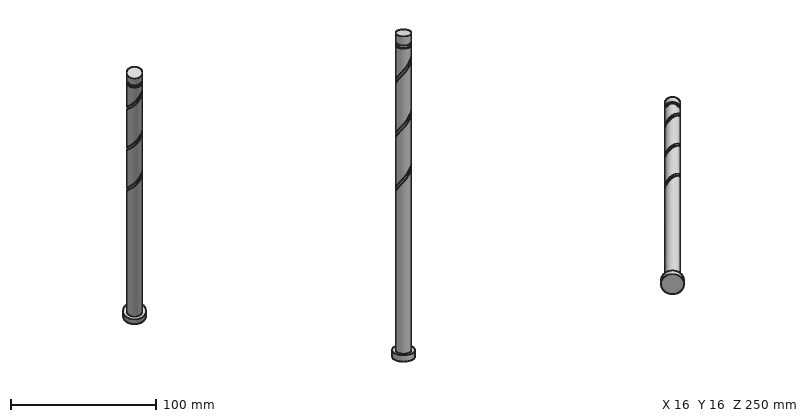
import cadquery as cq

TOTAL_LENGTH = 250.0
HEAD_DIAMETER = 16.0
HEAD_THICKNESS = 5.0
SHAFT_DIAMETER = 11.0

TIP_LENGTH = 7.0
RING_GROOVE_WIDTH = 2.5
RING_GROOVE_DIAMETER = 8.5

SPIRAL_TURNS = 3
SPIRAL_LENGTH = TOTAL_LENGTH / 2
SPIRAL_PITCH = SPIRAL_LENGTH / SPIRAL_TURNS
SPIRAL_TOOL_RADIUS = 0.9
SPIRAL_START_ANGLE = 90.0

shaft_radius = SHAFT_DIAMETER / 2
ring_groove_bottom = TOTAL_LENGTH - TIP_LENGTH - RING_GROOVE_WIDTH
spiral_bottom = ring_groove_bottom - SPIRAL_LENGTH


def make_pin():
    """Round shaft standing on a flat disc head."""
    head = cq.Workplane("XY").circle(HEAD_DIAMETER / 2).extrude(HEAD_THICKNESS)
    shaft = cq.Workplane("XY").circle(shaft_radius).extrude(TOTAL_LENGTH)
    return head.union(shaft)


def make_ring_groove():
    """Square-sided ring that leaves a neck below the tip."""
    return (
        cq.Workplane("XY", origin=(0, 0, ring_groove_bottom))
        .circle(HEAD_DIAMETER / 2)
        .circle(RING_GROOVE_DIAMETER / 2)
        .extrude(RING_GROOVE_WIDTH)
    )


def make_spiral_groove():
    """Round bar wound around the shaft, centred on its surface."""
    helix = cq.Wire.makeHelix(SPIRAL_PITCH, SPIRAL_LENGTH, shaft_radius)
    section_plane = cq.Plane(
        origin=(shaft_radius, 0, 0),
        xDir=(1, 0, 0),
        normal=helix.tangentAt(0),
    )
    bar = (
        cq.Workplane(section_plane)
        .circle(SPIRAL_TOOL_RADIUS)
        .sweep(cq.Workplane(helix), isFrenet=True)
    )
    turned_bar = bar.rotate((0, 0, 0), (0, 0, 1), SPIRAL_START_ANGLE)
    return turned_bar.translate((0, 0, spiral_bottom))


result = make_pin().cut(make_ring_groove()).cut(make_spiral_groove())